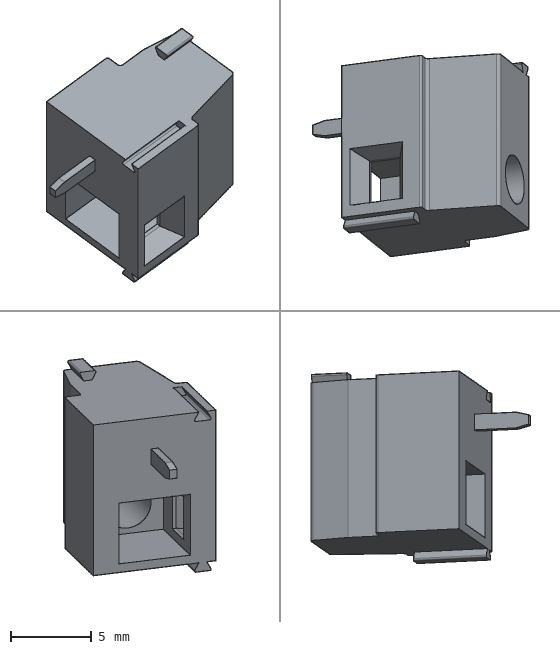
import cadquery as cq
import math

TOTAL_WIDTH = 8.1
TOTAL_LENGTH = 13.5
TOTAL_HEIGHT = 11.2

BODY_LENGTH = 10.0
BODY_HEIGHT = 10.0
SHOULDER_Y = 5.37
LEFT_STEP = 1.12
LEFT_TAPER_Y = 7.45
BACK_INSET = 1.57
TAPER_ANGLE = math.radians(10)
SHOULDER_RADIUS = 0.15
NECK_RADIUS = 0.24

DOVETAIL_HEIGHT = (TOTAL_HEIGHT - BODY_HEIGHT) / 2
DOVETAIL_NECK = 0.54
DOVETAIL_RADIUS = 0.1
REAR_LUG_HEAD = 1.17
REAR_LUG_X = -1.66
REAR_LUG_LENGTH = 2.28
FRONT_DOVETAIL_HEAD = 1.23
FRONT_DOVETAIL_X = 3.2
FRONT_DOVETAIL_LENGTH = 4.7

POCKET_WIDTH = 4.72
POCKET_HEIGHT = 4.04
POCKET_BOTTOM = 0.58
POCKET_DEPTH = BODY_LENGTH / 2
HOLE_DIAMETER = 3.1
HOLE_Z = 2.5

WINDOW_LENGTH = 2.05
WINDOW_HEIGHT = 2.84
WINDOW_START_Y = 1.3
WINDOW_STRAIGHT = 0.25
WINDOW_FLARE_LENGTH = 0.74
WINDOW_FLARE_HEIGHT = 0.45

PIN_LENGTH = TOTAL_LENGTH - BODY_LENGTH
PIN_WIDTH = 0.5
PIN_HEIGHT = 1.0
PIN_TIP_HEIGHT = 0.6
PIN_TIP_LENGTH = 0.81
PIN_Z = 7.45


def round_upright_edges(body, plan_points, radius):
    """Fillet the vertical edges that stand at the given (x, y) points."""
    for x, y in plan_points:
        edge = cq.selectors.NearestToPointSelector((x, y, BODY_HEIGHT / 2))
        body = body.edges("|Z").edges(edge).fillet(radius)
    return body


def make_body():
    """Plan outline with a wide front and a tapered neck, extruded upward."""
    left = -TOTAL_WIDTH / 2
    right = TOTAL_WIDTH / 2
    right_back = right - BACK_INSET
    right_neck = right_back + (BODY_LENGTH - SHOULDER_Y) * math.tan(TAPER_ANGLE)
    body = (
        cq.Workplane("XY")
        .moveTo(left, 0)
        .lineTo(right, 0)
        .lineTo(right, SHOULDER_Y)
        .lineTo(right_neck, SHOULDER_Y)
        .lineTo(right_back, BODY_LENGTH)
        .lineTo(left + BACK_INSET, BODY_LENGTH)
        .lineTo(left + LEFT_STEP, LEFT_TAPER_Y)
        .lineTo(left + LEFT_STEP, SHOULDER_Y)
        .lineTo(left, SHOULDER_Y)
        .close()
        .extrude(BODY_HEIGHT)
    )

    neck_points = [
        (right_neck, SHOULDER_Y),
        (right_back, BODY_LENGTH),
        (left + BACK_INSET, BODY_LENGTH),
        (left + LEFT_STEP, SHOULDER_Y),
    ]
    body = round_upright_edges(body, neck_points, NECK_RADIUS)
    return round_upright_edges(body, [(left, SHOULDER_Y), (right, SHOULDER_Y)], SHOULDER_RADIUS)


def make_dovetail(head_width, center_x, start_y, length, base_z, direction):
    """Bar along Y whose section widens from its neck at base_z; direction is +1 up or -1 down."""
    neck = DOVETAIL_NECK / 2
    head = head_width / 2
    head_z = direction * DOVETAIL_HEIGHT
    bar = (
        cq.Workplane("XZ", origin=(center_x, start_y, base_z))
        .polyline([(-neck, 0), (neck, 0), (head, head_z), (-head, head_z)])
        .close()
        .extrude(-length)
    )
    head_face = ">Z" if direction > 0 else "<Z"
    return bar.faces(head_face).edges("|Y").fillet(DOVETAIL_RADIUS)


def make_front_dovetail(base_z):
    """Downward dovetail at the front face, used for both the lug and its matching groove."""
    return make_dovetail(FRONT_DOVETAIL_HEAD, FRONT_DOVETAIL_X, 0, FRONT_DOVETAIL_LENGTH, base_z, -1)


def make_pocket():
    """Rectangular pocket from the front face, continued by a round hole out of the back."""
    pocket = (
        cq.Workplane("XY", origin=(0, 0, POCKET_BOTTOM))
        .box(POCKET_WIDTH, POCKET_DEPTH, POCKET_HEIGHT, centered=(True, False, False))
    )
    hole = (
        cq.Workplane("XZ", origin=(0, 0, HOLE_Z))
        .circle(HOLE_DIAMETER / 2)
        .extrude(-BODY_LENGTH)
    )
    return pocket.union(hole)


def make_window():
    """Opening from the pocket through the +X wall that flares toward the outside."""
    inner_x = POCKET_WIDTH / 2
    flare_x = inner_x + WINDOW_STRAIGHT
    center_y = WINDOW_START_Y + WINDOW_LENGTH / 2
    center_z = POCKET_BOTTOM + POCKET_HEIGHT / 2
    straight = (
        cq.Workplane("YZ", origin=(0, center_y, center_z))
        .rect(WINDOW_LENGTH, WINDOW_HEIGHT)
        .extrude(flare_x)
    )
    flare = (
        cq.Workplane("YZ", origin=(flare_x, center_y, center_z))
        .rect(WINDOW_LENGTH, WINDOW_HEIGHT)
        .workplane(offset=TOTAL_WIDTH / 2 - flare_x)
        .rect(WINDOW_LENGTH + 2 * WINDOW_FLARE_LENGTH, WINDOW_HEIGHT + 2 * WINDOW_FLARE_HEIGHT)
        .loft(ruled=True)
    )
    return straight.union(flare)


def make_pin():
    """Flat pin on the front face with a tip tapered above and below."""
    half = PIN_HEIGHT / 2
    tip_half = PIN_TIP_HEIGHT / 2
    taper_y = PIN_TIP_LENGTH - PIN_LENGTH
    return (
        cq.Workplane("YZ", origin=(0, 0, PIN_Z))
        .polyline([
            (0, -half),
            (taper_y, -half),
            (-PIN_LENGTH, -tip_half),
            (-PIN_LENGTH, tip_half),
            (taper_y, half),
            (0, half),
        ])
        .close()
        .extrude(PIN_WIDTH / 2, both=True)
    )


rear_lug_start = BODY_LENGTH - REAR_LUG_LENGTH
rear_lug = make_dovetail(REAR_LUG_HEAD, REAR_LUG_X, rear_lug_start, REAR_LUG_LENGTH, BODY_HEIGHT, 1)
front_lug = make_front_dovetail(0)
front_groove = make_front_dovetail(BODY_HEIGHT)

result = (
    make_body()
    .cut(make_pocket())
    .cut(make_window())
    .cut(front_groove)
    .union(rear_lug)
    .union(front_lug)
    .union(make_pin())
)